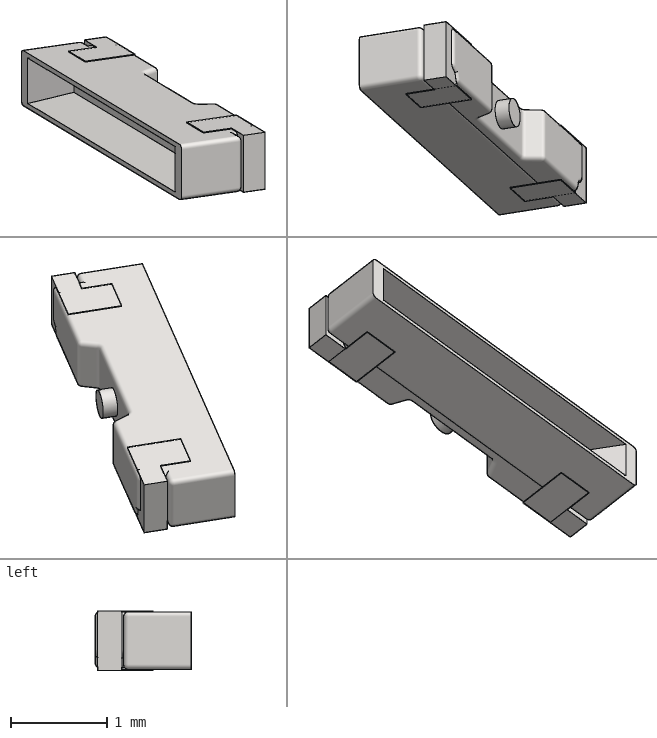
import cadquery as cq
import math

length = 3.8
depth = 1.0
height = 0.6
edge_radius = 0.05
shoulder_y = 0.703

core_half_length = 1.745
core_bottom_z = -0.28
step_top_z = -0.133
step_inner_z = -0.18
step_slope_angle = 63.0
skirt_angle = 20.7
step_radius = 0.057

notch_floor_y = 0.798
notch_top_half = 0.7
notch_floor_half = 0.605

nub_diameter = 0.3
nub_end_y = 0.955

cavity_depth = 0.4
cavity_wall = 0.055
cavity_front_half = 1.748
cavity_back_half = 1.47
cavity_floor_rise = 0.145

terminal_height = 0.62
terminal_outer_x = 1.885
terminal_inner_x = 1.2
terminal_back_y = 0.973
terminal_side_front_y = 0.722
finger_width = 0.4
finger_front_y = 0.4

half_length = length / 2
half_height = height / 2
finger_outer_x = terminal_inner_x + finger_width
margin = edge_radius / 10


def mirrored(points):
    """Completes an outline given on the +X side with its mirror image."""
    return points + [(-x, other) for x, other in reversed(points)]


def edges_in_box(y_range, z_range):
    """Selects edges of any X whose centres lie between the given Y and Z limits."""
    return cq.selectors.BoxSelector(
        (-length, y_range[0], z_range[0]),
        (length, y_range[1], z_range[1]),
    )


behind_front = edges_in_box((margin, depth + margin), (-height, height))


def front_block():
    """Full-length block, rounded everywhere but at its front face."""
    block = cq.Workplane("XY").box(length, shoulder_y, height, centered=(True, False, True))
    return block.edges(behind_front).fillet(edge_radius)


def core_prism():
    """Stepped core section over the whole depth, with the upper corner of each step rounded."""
    step_drop = step_top_z - step_inner_z
    skirt_drop = step_inner_z - core_bottom_z
    step_inner_half = core_half_length - step_drop * math.tan(math.radians(step_slope_angle))
    bottom_half = step_inner_half - skirt_drop * math.tan(math.radians(skirt_angle))
    right_side = [
        (core_half_length, half_height),
        (core_half_length, step_top_z),
        (step_inner_half, step_inner_z),
        (bottom_half, core_bottom_z),
    ]
    prism = cq.Workplane("XZ").polyline(mirrored(right_side)).close().extrude(-depth)
    step_corners = edges_in_box((margin, depth - margin), (step_top_z - margin, step_top_z + margin))
    return prism.edges(step_corners).fillet(step_radius)


def notch():
    """Cutter with sloped sides, carried past the back face at the same slope."""
    slope = (notch_top_half - notch_floor_half) / (depth - notch_floor_y)
    mouth_half = notch_top_half + slope * edge_radius
    outline = mirrored([(mouth_half, depth + edge_radius), (notch_floor_half, notch_floor_y)])
    return cq.Workplane("XY").polyline(outline).close().extrude(height, both=True)


def core():
    """Notched core; all edges are rounded except the front ones and those along the steps."""
    body = core_prism().cut(notch())
    along_steps = edges_in_box((margin, shoulder_y), (core_bottom_z + margin, half_height - margin))
    return body.edges(behind_front - along_steps).fillet(edge_radius)


def nub():
    """Round nub from the notch floor toward the back."""
    return (
        cq.Workplane("XZ", origin=(0, notch_floor_y, 0))
        .circle(nub_diameter / 2)
        .extrude(notch_floor_y - nub_end_y)
    )


def cavity_section(y, half_width, floor_z, roof_z):
    """Rectangle across the cavity at the given Y."""
    corners = [(-half_width, floor_z), (half_width, floor_z), (half_width, roof_z), (-half_width, roof_z)]
    return cq.Wire.makePolygon([cq.Vector(x, y, z) for x, z in corners], close=True)


def cavity():
    """Cutter lofted from the open mouth to the smaller back wall."""
    roof_z = half_height - cavity_wall
    mouth = cavity_section(0, cavity_front_half, -roof_z, roof_z)
    back = cavity_section(cavity_depth, cavity_back_half, cavity_floor_rise - roof_z, roof_z)
    return cq.Workplane(cq.Solid.makeLoft([mouth, back], True))


def make_terminal(side, block):
    """Terminal on one end (side is -1 or 1), hollowed to fit the block it wraps."""
    plate_outline = [
        (terminal_outer_x, terminal_back_y),
        (terminal_inner_x, terminal_back_y),
        (terminal_inner_x, finger_front_y),
        (finger_outer_x, finger_front_y),
        (finger_outer_x, terminal_side_front_y),
        (terminal_outer_x, terminal_side_front_y),
    ]
    plate_thickness = (terminal_height - height) / 2
    plate = (
        cq.Workplane("XY")
        .workplane(offset=half_height)
        .polyline([(side * x, y) for x, y in plate_outline])
        .close()
        .extrude(plate_thickness)
    )
    end_length = terminal_outer_x - finger_outer_x
    end_width = terminal_back_y - terminal_side_front_y
    end_block = cq.Workplane("XY").box(end_length, end_width, terminal_height).translate(
        (side * (finger_outer_x + end_length / 2), terminal_side_front_y + end_width / 2, 0)
    )
    return end_block.cut(block).union(plate).union(plate.mirror("XY"))


block = front_block().union(core())
housing = block.union(nub()).cut(cavity())
terminals = [make_terminal(side, block) for side in (-1, 1)]
result = cq.Compound.makeCompound(
    [housing.solids().val(), *[terminal.solids().val() for terminal in terminals]]
)